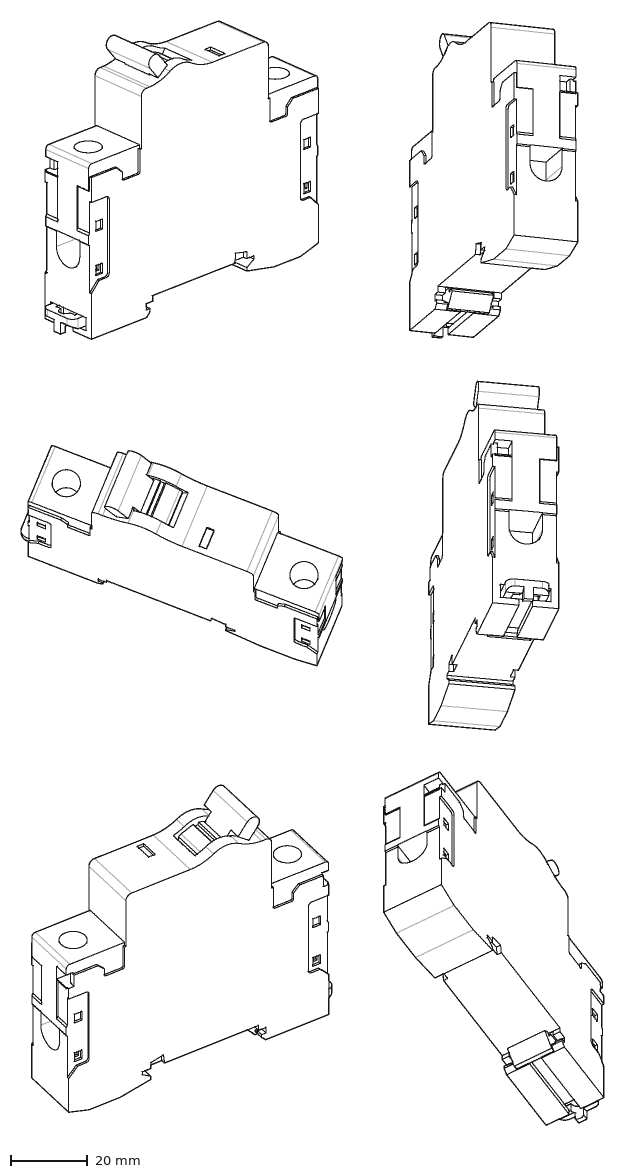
import cadquery as cq

width = 17.6
total_length = 85.1
total_height = 73.95

half_width = width / 2
housing_end = 40.4
shoulder_height = 49.9
tower_end = 22.6
tower_height = 65.7
tower_radius = 1.8
rail_height = 5.6

cover_half_width = 8.2
cover_end = 40.8
cover_bottom = 26.55
cover_radius = 1.1
cover_recess_low = 41.95
cover_recess_high = 46.3
cover_recess_radius = 0.5
end_step = cover_end - housing_end
grip_inner = 3.7
grip_bottom = 29.5
grip_slope_height = 0.7
grip_top = 42.3
corner_notch_top = 46.7
corner_notch_bottom = 42.6
corner_notch_depth = 2.0
corner_pocket_side = 7.15
corner_pocket_depth = 4.7

screw_y = 33.3
screw_hole_radius = 3.7
screw_hole_depth = 17.0
wire_port_radius = 4.4
wire_port_centre_z = 22.1
wire_port_top = 27.0
wire_port_depth = 12.8

label_inner = 34.0
label_top = 39.15
label_bottom = 16.0
label_slope_start = 37.6
label_slope_end_z = 13.1
label_radius = 1.0
label_recess_depth = half_width - cover_half_width
window_centre_y = 37.0
window_width = 2.3
window_height = 2.8
window_depth = 0.7
window_centres_z = (31.4, 18.7)
keyhole_width = 1.1
keyhole_height = 1.7
keyhole_centre_z = 19.1

slot_half_width = 5.1
slot_start_y = -1.2
slot_end_y = -12.4
slot_floor = 63.8
hub_base = slot_floor - 0.85
neck_half_width = 4.7
bar_half_width = 8.1
bar_radius = 2.1
bar_tip_y = -17.2
bar_tip_z = total_height - bar_radius
bar_length = 4.6
neck_length = 3.8
bar_angle = 52.0

status_centre_x = 4.3
status_centre_y = 7.75
status_width = 5.45
status_length = 2.0
status_depth = 0.85

latch_half_width = 5.7
latch_channel_half_width = 6.7
latch_channel_floor = 1.8
latch_top = 5.5
latch_bottom = 2.55
latch_tip = cover_end - total_length
latch_tip_underside = 3.6
latch_bend_y = -42.3
latch_corner_radius = 2.0
latch_mouth_y = -41.4
latch_mouth_inner_y = -38.7
latch_mouth_half_width = 3.6
latch_mouth_radius = 1.8
latch_leg_half_width = 1.3
latch_leg_bottom = 0.2
leg_gap_half_width = 1.8
latch_inner_end = -18.55
foot_pocket_depth = 1.3


def box(x_range, y_range, z_range):
    """Box spanning the given coordinate ranges."""
    sizes = [high - low for low, high in (x_range, y_range, z_range)]
    corner = (x_range[0], y_range[0], z_range[0])
    return cq.Workplane("XY").box(*sizes, centered=False).translate(corner)


def slab(outline, half_thickness):
    """Extrude a closed YZ outline symmetrically about X = 0."""
    return outline.extrude(half_thickness, both=True)


def side_slab(outline, depth):
    """Extrude a YZ outline inward from the -X wall to the given depth."""
    return outline.extrude(depth).translate((-half_width, 0, 0))


def polygon(points):
    return cq.Workplane("YZ").polyline(points).close()


def on_both_sides(shape):
    return shape.union(shape.mirror("YZ"))


def on_both_ends(shape):
    return shape.union(shape.mirror("XZ"))


def make_housing():
    """Full-width case with the stepped top, humped roof and rail channel."""
    outline = (
        cq.Workplane("YZ")
        .moveTo(housing_end, 2.0)
        .lineTo(housing_end, shoulder_height)
        .lineTo(tower_end, shoulder_height)
        .lineTo(tower_end, tower_height)
        .lineTo(2.6, tower_height)
        .threePointArc((-1.3, 66.3), (-4.6, 67.7))
        .threePointArc((-8.2, 68.9), (slot_end_y, 67.9))
        .threePointArc((-15.5, 66.5), (-19.6, tower_height))
        .lineTo(-tower_end, tower_height)
        .lineTo(-tower_end, shoulder_height)
        .lineTo(-housing_end, shoulder_height)
        .lineTo(-housing_end, 0)
        .lineTo(-20.8, 0)
        .lineTo(-19.5, 1.3)
        .lineTo(-19.5, 2.2)
        .lineTo(-20.85, 2.2)
        .lineTo(-20.85, 4.0)
        .lineTo(latch_inner_end, 4.0)
        .lineTo(latch_inner_end, rail_height)
        .lineTo(17.45, rail_height)
        .lineTo(17.45, 4.7)
        .lineTo(14.9, 3.1)
        .lineTo(14.9, 2.0)
        .lineTo(24.6, 0.2)
        .lineTo(34.0, 0.2)
        .close()
    )
    housing = slab(outline, half_width)
    margin = 0.1
    for end_y in (-tower_end, tower_end):
        corner = cq.selectors.BoxSelector(
            (-width, end_y - margin, tower_height - margin),
            (width, end_y + margin, tower_height + margin),
        )
        housing = housing.edges(corner).fillet(tower_radius)
    return housing


def cover_recess():
    """Stepped space on top of the terminal block that the narrower cover fills again."""
    outline = polygon([
        (-tower_end, shoulder_height),
        (-tower_end, 48.9),
        (-23.15, 48.9),
        (-23.15, cover_recess_low),
        (-29.4, cover_recess_low),
        (-29.4, 44.4),
        (-31.3, cover_recess_high),
        (-cover_end, cover_recess_high),
        (-cover_end, shoulder_height),
    ])
    recess = slab(outline, half_width).edges("|X and <Z").fillet(cover_recess_radius)
    return on_both_ends(recess)


def make_cover():
    """Narrow terminal cover at the -Y end, standing slightly proud of the end wall."""
    outline = polygon([
        (-tower_end, shoulder_height),
        (-cover_end, shoulder_height),
        (-cover_end, cover_bottom + end_step),
        (-housing_end, cover_bottom),
        (-tower_end, cover_bottom),
    ])
    cover = slab(outline, cover_half_width)
    return cover.faces("<Y").edges(">Z").fillet(cover_radius)


def grip_recesses():
    """Shallow recesses with sloped lower edges, left and right on the end face."""
    outline = polygon([
        (-housing_end, grip_top),
        (-cover_end, grip_top),
        (-cover_end, grip_bottom),
        (-housing_end, grip_bottom + grip_slope_height),
    ])
    recess = outline.extrude(cover_half_width - grip_inner).translate((-cover_half_width, 0, 0))
    return on_both_sides(recess)


def corner_notch():
    """Notch in the -X corner of the terminal block with a deeper pocket behind it."""
    z_range = (corner_notch_bottom, corner_notch_top)
    notch = box((-half_width, -grip_inner), (-cover_end, corner_notch_depth - cover_end), z_range)
    pocket = box((-corner_pocket_side, -grip_inner), (-cover_end, corner_pocket_depth - cover_end), z_range)
    return notch.union(pocket)


def terminal_openings():
    """Screw hole from above and U-shaped wire port from the end."""
    screw_hole = (
        cq.Workplane("XY", origin=(0, -screw_y, shoulder_height))
        .circle(screw_hole_radius)
        .extrude(-screw_hole_depth)
    )
    port = (
        cq.Workplane("XZ", origin=(0, wire_port_depth - cover_end, 0))
        .moveTo(-wire_port_radius, wire_port_top)
        .lineTo(-wire_port_radius, wire_port_centre_z)
        .threePointArc((0, wire_port_centre_z - wire_port_radius), (wire_port_radius, wire_port_centre_z))
        .lineTo(wire_port_radius, wire_port_top)
        .close()
        .extrude(wire_port_depth)
    )
    return screw_hole.union(port)


def label_recess():
    """Side-wall recess with two small windows, the lower one holding a deeper keyhole."""
    outline = polygon([
        (-cover_end, label_top),
        (-label_inner, label_top),
        (-label_inner, label_bottom),
        (-label_slope_start, label_bottom),
        (-housing_end, label_slope_end_z),
        (-cover_end, label_slope_end_z),
    ])
    recess = side_slab(outline, label_recess_depth).edges("|X and >Y").fillet(label_radius)
    for centre_z in window_centres_z:
        window = cq.Workplane("YZ").center(-window_centre_y, centre_z).rect(window_width, window_height)
        recess = recess.union(side_slab(window, label_recess_depth + window_depth))
    keyhole = (
        cq.Workplane("YZ")
        .center(-window_centre_y, keyhole_centre_z)
        .rect(keyhole_width, keyhole_height)
    )
    recess = recess.union(side_slab(keyhole, label_recess_depth + 2 * window_depth))
    return on_both_sides(recess)


def toggle_slot():
    """Opening in the hump, with a sloped wall at its +Y end."""
    outline = polygon([
        (slot_start_y, total_height),
        (slot_start_y, 66.3),
        (-2.8, slot_floor),
        (slot_end_y, slot_floor),
        (slot_end_y, total_height),
    ])
    return slab(outline, slot_half_width)


def make_toggle():
    """Grooved hub inside the slot, narrow neck and wide round-tipped bar."""
    hub = slab(polygon([
        (-2.8, hub_base),
        (-2.8, 65.2),
        (-3.6, 65.8),
        (-7.4, 67.3),
        (-7.8, 66.55),
        (-8.85, 66.55),
        (-9.0, 67.4),
        (slot_end_y, 66.4),
        (slot_end_y, hub_base),
    ]), slot_half_width)

    bar = slab(
        cq.Workplane("YZ")
        .moveTo(bar_radius, 0)
        .threePointArc((0, bar_radius), (-bar_radius, 0))
        .lineTo(-bar_radius, -bar_length)
        .lineTo(bar_radius, -bar_length)
        .close(),
        bar_half_width,
    )
    neck = box(
        (-neck_half_width, neck_half_width),
        (-bar_radius, bar_radius),
        (-bar_length - neck_length, -bar_length),
    )
    lever = bar.union(neck).rotate((0, 0, 0), (1, 0, 0), 90 - bar_angle)
    return hub.union(lever.translate((0, bar_tip_y, bar_tip_z)))


def status_window():
    return (
        cq.Workplane("XY", origin=(status_centre_x, status_centre_y, tower_height))
        .rect(status_width, status_length)
        .extrude(-status_depth)
    )


def foot_pockets():
    """Tilted pocket above the fixed rail jaw."""
    outline = polygon([
        (14.9, rail_height),
        (14.9, 7.6),
        (11.0, 8.4),
        (10.6, rail_height),
    ])
    return on_both_sides(side_slab(outline, foot_pocket_depth))


def latch_channel():
    """T-shaped guide for the latch, open at the -Y end and at the rail."""
    y_range = (-cover_end, latch_inner_end)
    guide = box(
        (-latch_channel_half_width, latch_channel_half_width),
        y_range,
        (latch_channel_floor, latch_top),
    )
    gap = box((-leg_gap_half_width, leg_gap_half_width), y_range, (0, latch_channel_floor))
    return guide.union(gap)


def make_latch():
    """Sliding rail latch with a pull tab at -Y and a slanted hook at the rail."""
    plate = slab(polygon([
        (latch_inner_end, latch_top),
        (latch_tip, latch_top),
        (latch_tip, latch_tip_underside),
        (latch_bend_y, latch_bottom),
        (latch_inner_end, latch_bottom),
    ]), latch_half_width)
    corners = (
        cq.Workplane("XY")
        .rect(2 * latch_half_width, -2 * latch_tip)
        .extrude(latch_top)
        .edges("|Z")
        .fillet(latch_corner_radius)
    )
    plate = plate.intersect(corners)
    mouth = box(
        (-latch_mouth_half_width, latch_mouth_half_width),
        (latch_mouth_y, latch_mouth_inner_y),
        (0, latch_top),
    ).union(
        cq.Workplane("XY").center(0, latch_mouth_y).circle(latch_mouth_radius).extrude(latch_top)
    )
    leg = box(
        (-latch_leg_half_width, latch_leg_half_width),
        (latch_tip, latch_bend_y),
        (latch_leg_bottom, latch_tip_underside),
    )
    hook = slab(polygon([
        (-16.1, 3.9),
        (-17.45, 4.9),
        (-18.2, 4.4),
        (-19.6, 4.4),
        (-21.3, 3.4),
        (-21.3, 1.0),
        (-20.8, 0.2),
        (-19.5, 0.2),
    ]), latch_half_width)
    return plate.union(leg).cut(mouth).union(hook)


result = (
    make_housing()
    .cut(cover_recess())
    .union(on_both_ends(make_cover()))
    .cut(on_both_ends(grip_recesses()))
    .cut(on_both_ends(corner_notch()))
    .cut(on_both_ends(terminal_openings()))
    .cut(on_both_ends(label_recess()))
    .cut(toggle_slot())
    .union(make_toggle())
    .cut(status_window())
    .cut(foot_pockets())
    .cut(latch_channel())
    .union(make_latch())
)